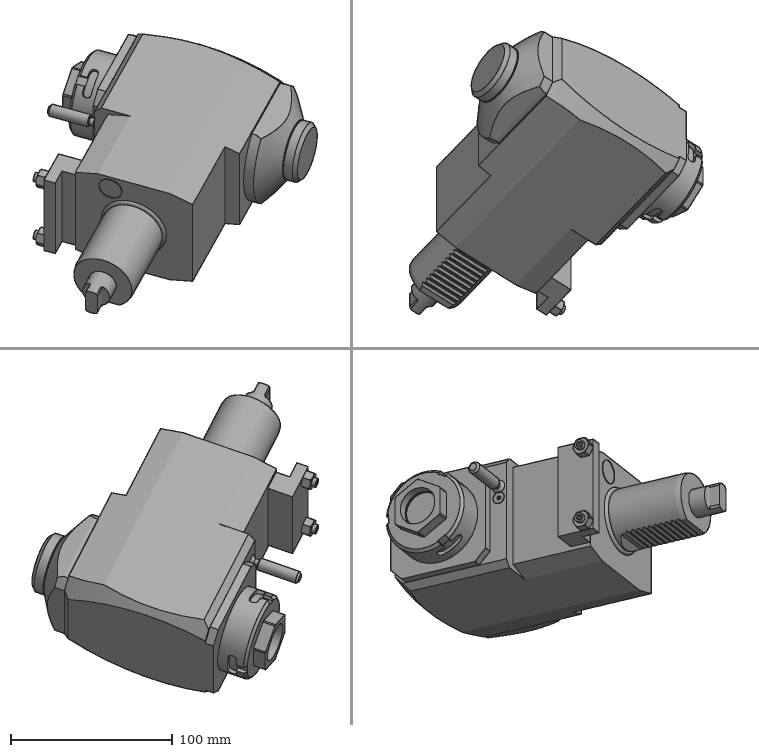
import cadquery as cq
import math


half_height = 37.5
back_y = 134.0
step_y = 55.0
head_left, head_right = -47.8, 48.8
base_half_width = 39.1
head_chamfer = 4.3
corner_chamfer = 4.1
slope_angle = 15
slope_start = 23.9
slope = math.tan(math.radians(slope_angle))

bevel_center_x = -9.9
bevel_radius = 131.8
bevel_start_y = 129.8

spindle_y = 100.0
plate_thickness = 5.5
plate_half_height = 33.0
plate_front_y = 66.5
plate_corner = 7.6
plate_left = head_left - plate_thickness

collar_radius = 27.6
collar_length = 19.2
collar_chamfer = 1.9
collar_left = plate_left - collar_length
notch_angles = (60, 180, 300)
notch_width = 6.0
notch_depth = 2.7
slot_width = 5.8
slot_depth = 2.5
slot_center_x = -63.0
slot_half_angle = 14

hex_flats = 32.0
hex_corner_radius = 18.1
hex_length = 8.0
hex_bore_radius = 12.2
hex_bore_depth = 6.2
hex_bore_step = 0.5
hex_floor_depth = 7.2
hex_left = collar_left - hex_length

cap_radius = 38.0
cap_edge_x = 55.5
cap_nose_x = 67.4
cap_nose_radius = 19.4
cap_nose_chamfer = 2.5
cap_groove_width = 0.6
cap_groove_depth = 0.5
cap_right = 76.5
cap_half_height = 29.3
cap_slope_x = 51.5
cap_flat = 30.0

pin_y = 60.5
pin_z = 17.7
pin_radius = 4.0
pin_chamfer = 1.5
pin_back_chamfer = 0.6
pin_right = -53.0
neck_radius = 2.5
neck_right = -50.0
flare_radius = 4.3
plug_z = 10.3
plug_radius = 4.0
plug_bore_radius = 1.2
plug_bore_depth = 2.0
mark_depth = 0.5

bracket_half_height = 30.7
bracket_left = -55.8
bracket_leg_right = -48.2
bracket_back_y = 14.0
bracket_arm_front = 0.6
bracket_front_y = -11.0
nut_y = -5.2
nut_z = 25.1
nut_flats = 10.3
nut_thickness = 5.5
nut_chamfer = 0.6
stud_diameter = 6.0
stud_length = 2.7
socket_flats = 3.0
socket_depth = 2.0

seat_radius = 21.6
seat_length = 1.9
shank_lead_end = -3.3
shank_lead_radius = 19.5
flat_start = -7.0
shank_radius = 20.0
shank_end = -53.0
shank_chamfer_length = 3.0
shank_end_radius = 19.4
shank_flat = 15.9
tooth_depth = 1.0
groove_width = 3.3
groove_count = 10
first_groove_y = -11.3
last_groove_y = -47.4
tooth_pitch = (first_groove_y - last_groove_y) / (groove_count - 1)
drive_radius = 9.0
drive_end = -64.0
tang_half_width = 4.1
tang_end = -72.0
tang_bevel_height = 2.5
tang_bevel_width = 0.8
tang_fillet = 0.8
face_plug_x = -15.9
face_plug_z = 27.5
face_plug_radius = 7.6


def box(x0, x1, y0, y1, z0, z1):
    return cq.Workplane("XY").box(x1 - x0, y1 - y0, z1 - z0, centered=False).translate((x0, y0, z0))


def along_x(x, y, z=0.0):
    """Sketch plane facing +X, with local axes Y and Z."""
    return cq.Workplane("YZ", origin=(x, y, z))


def along_y(y, x=0.0, z=0.0):
    """Sketch plane facing +Y, with local axes -X and Z."""
    return cq.Workplane(cq.Plane(origin=(x, y, z), xDir=(-1, 0, 0), normal=(0, 1, 0)))


def turned(points, y, z=0.0):
    """Solid of revolution about a line along X; points are (x, radius)."""
    x_start, x_end = points[0][0], points[-1][0]
    outline = [(x_start, 0)] + points + [(x_end, 0)]
    return cq.Workplane("XY").polyline(outline).close().revolve(360, (0, 0), (1, 0)).translate((0, y, z))


def hexagon(plane, flats, length, turn):
    corner_diameter = flats / math.cos(math.radians(30))
    return plane.transformed(rotate=(0, 0, turn)).polygon(6, corner_diameter).extrude(length)


def prism(upper_outline, y0, y1):
    """Extrude along Y an XZ outline given by its upper half and mirrored in Z."""
    lower_outline = [(x, -z) for x, z in reversed(upper_outline)]
    outline = cq.Workplane("XZ", origin=(0, y1, 0)).polyline(upper_outline + lower_outline).close()
    return outline.extrude(y1 - y0)


def sloped_height(x):
    return half_height - (abs(x) - slope_start) * slope


def back_bevel(side):
    """Cone that trims the back edge on one side (+1 top, -1 bottom)."""
    back_radius = bevel_radius - (back_y - bevel_start_y)
    front_radius = back_radius + back_y
    cone_profile = [(0, 0), (front_radius, 0), (back_radius, back_y), (0, back_y)]
    cone = cq.Workplane("XY").polyline(cone_profile).close().revolve(360, (0, 0), (0, 1))
    return cone.translate((bevel_center_x, 0, side * (half_height - bevel_radius)))


def make_body():
    head_outline = [
        (head_left, half_height - head_chamfer),
        (head_left + head_chamfer, half_height),
        (slope_start, half_height),
        (head_right, sloped_height(head_right)),
    ]
    base_outline = [
        (-base_half_width, sloped_height(base_half_width)),
        (-slope_start, half_height),
        (slope_start, half_height),
        (base_half_width, sloped_height(base_half_width)),
    ]
    head = prism(head_outline, step_y, back_y)
    head = head.edges("|Z and >X and >Y").chamfer(corner_chamfer)
    head = head.intersect(back_bevel(1)).intersect(back_bevel(-1))
    return head.union(prism(base_outline, 0, step_y))


def make_plate():
    plate = box(plate_left, head_left, plate_front_y, back_y, -plate_half_height, plate_half_height)
    return plate.edges("|X").chamfer(plate_corner)


def collar_cutter():
    """One face notch with its curved slot, both on the -Y side of the collar."""
    notch_end = slot_center_x - slot_width / 2
    notch = box(collar_left, notch_end, -collar_radius, notch_depth - collar_radius,
                -notch_width / 2, notch_width / 2)
    floor_radius = collar_radius - slot_depth
    x0, x1 = notch_end, notch_end + slot_width
    outer_radius = collar_radius + slot_depth
    section = [(x0, -outer_radius), (x1, -outer_radius), (x1, -floor_radius), (x0, -floor_radius)]
    slot = cq.Workplane("XY").polyline(section).close().revolve(2 * slot_half_angle, (0, 0), (1, 0))
    slot = slot.rotate((0, 0, 0), (1, 0, 0), -slot_half_angle)
    slot_end = along_y(-outer_radius, slot_center_x).circle(slot_width / 2).extrude(2 * slot_depth)
    for angle in (-slot_half_angle, slot_half_angle):
        slot = slot.union(slot_end.rotate((0, 0, 0), (1, 0, 0), angle))
    return notch.union(slot)


def make_collar():
    collar = turned([
        (collar_left, collar_radius - collar_chamfer),
        (collar_left + collar_chamfer, collar_radius),
        (plate_left, collar_radius),
    ], spindle_y)
    cutter = collar_cutter()
    for angle in notch_angles:
        collar = collar.cut(cutter.rotate((0, 0, 0), (1, 0, 0), angle).translate((0, spindle_y, 0)))
    return collar


def make_hex():
    start = along_x(hex_left, spindle_y)
    blank = hexagon(start, hex_flats, hex_length, 90)
    return blank.intersect(start.circle(hex_corner_radius).extrude(hex_length))


def make_cap():
    cap = turned([
        (head_right, cap_radius),
        (cap_edge_x, cap_radius),
        (cap_nose_x, cap_nose_radius),
        (cap_nose_x, cap_nose_radius - cap_groove_depth),
        (cap_nose_x + cap_groove_width, cap_nose_radius - cap_groove_depth),
        (cap_nose_x + cap_groove_width, cap_nose_radius),
        (cap_right - cap_nose_chamfer, cap_nose_radius),
        (cap_right, cap_nose_radius - cap_nose_chamfer),
    ], spindle_y)
    envelope = [
        (head_right, cap_half_height),
        (cap_slope_x, cap_half_height),
        (cap_right, cap_half_height - (cap_right - cap_slope_x) * slope),
    ]
    return cap.intersect(prism(envelope, spindle_y - cap_radius, spindle_y + cap_flat))


def make_pin():
    return turned([
        (hex_left, pin_radius - pin_chamfer),
        (hex_left + pin_chamfer, pin_radius),
        (pin_right - pin_back_chamfer, pin_radius),
        (pin_right, pin_radius - pin_back_chamfer),
        (pin_right, neck_radius),
        (neck_right, neck_radius),
        (head_left, flare_radius),
    ], pin_y, pin_z)


def make_bracket():
    arm = box(bracket_left, -base_half_width, bracket_arm_front, bracket_back_y,
              -bracket_half_height, bracket_half_height)
    leg = box(bracket_left, bracket_leg_right, bracket_front_y, bracket_back_y,
              -bracket_half_height, bracket_half_height)
    return arm.union(leg)


def make_nut(z):
    nut_left = bracket_left - nut_thickness
    stud_left = nut_left - stud_length
    start = along_x(nut_left, nut_y, z)
    corner_radius = nut_flats / 2 / math.cos(math.radians(30))
    rounding = start.circle(corner_radius).extrude(nut_thickness).faces("<X").chamfer(nut_chamfer)
    nut = hexagon(start, nut_flats, nut_thickness, 0).intersect(rounding)
    stud = along_x(stud_left, nut_y, z).circle(stud_diameter / 2).extrude(stud_length)
    socket = hexagon(along_x(stud_left, nut_y, z), socket_flats, socket_depth, 0)
    return nut.union(stud).cut(socket)


def make_shank():
    arc_center_x = seat_radius - seat_length
    arc_middle = seat_length * math.sqrt(0.5)
    seat = cq.Workplane("XY").lineTo(seat_radius, 0)
    seat = seat.threePointArc((arc_center_x + arc_middle, -arc_middle), (arc_center_x, -seat_length))
    outline = seat.polyline([
        (shank_lead_radius, -seat_length),
        (shank_radius, shank_lead_end),
        (shank_radius, shank_end + shank_chamfer_length),
        (shank_end_radius, shank_end),
        (drive_radius, shank_end),
        (drive_radius, drive_end),
        (0, drive_end),
    ], includeCurrent=True).close()
    shank = outline.revolve(360, (0, 0), (0, 1))
    return shank.cut(underside_flat()).cut(tooth_grooves()).union(make_tang())


def make_tang():
    """Flat driving tongue with beveled edges and a filleted foot."""
    tongue = prism([
        (-tang_half_width, drive_radius - tang_bevel_height),
        (-tang_half_width + tang_bevel_width, drive_radius),
        (tang_half_width - tang_bevel_width, drive_radius),
        (tang_half_width, drive_radius - tang_bevel_height),
    ], tang_end, drive_end)
    foot_end = drive_end - tang_fillet
    foot = box(-tang_half_width - tang_fillet, tang_half_width + tang_fillet, foot_end, drive_end,
               -drive_radius, drive_radius)
    for side in (-1, 1):
        round_axis = (side * (tang_half_width + tang_fillet), foot_end)
        rounding = cq.Workplane("XY", origin=(0, 0, -drive_radius)).center(*round_axis)
        foot = foot.cut(rounding.circle(tang_fillet).extrude(2 * drive_radius))
    envelope = along_y(tang_end).circle(drive_radius).extrude(drive_end - tang_end)
    return tongue.union(foot).intersect(envelope)


def underside_flat():
    """Cutter for the flat under the shank; local axes of the sketch plane are Y and Z."""
    runout = seat_radius - shank_flat
    return cq.Workplane("YZ", origin=(-seat_radius, 0, 0)).polyline([
        (shank_end, -shank_flat),
        (flat_start, -shank_flat),
        (flat_start + runout, -seat_radius),
        (shank_end, -seat_radius),
    ]).close().extrude(2 * seat_radius)


def tooth_grooves():
    """V grooves across the flat; local axes of the sketch plane are Y and Z."""
    grooves = cq.Workplane("YZ", origin=(-shank_radius, 0, 0))
    for i in range(groove_count):
        y = first_groove_y - i * tooth_pitch
        grooves = grooves.polyline([
            (y - groove_width / 2, -shank_flat),
            (y, -shank_flat + tooth_depth),
            (y + groove_width / 2, -shank_flat),
        ]).close()
    return grooves.extrude(2 * shank_radius)


result = make_body()
for feature in (make_plate(), make_collar(), make_hex(), make_cap(), make_bracket(), make_shank()):
    result = result.union(feature)
for side in (-1, 1):
    result = result.union(make_nut(side * nut_z))

result = result.cut(along_x(hex_left, spindle_y).circle(hex_bore_radius).extrude(hex_bore_depth))
hex_floor = along_x(hex_left, spindle_y).circle(hex_bore_radius - hex_bore_step).extrude(hex_floor_depth)
result = result.cut(hex_floor)
result = result.cut(along_x(head_left, pin_y, plug_z).circle(plug_radius).extrude(mark_depth))
result = result.cut(along_x(head_left, pin_y, plug_z).circle(plug_bore_radius).extrude(plug_bore_depth))
result = result.cut(along_y(0, face_plug_x, face_plug_z).circle(face_plug_radius).extrude(mark_depth))
result = result.union(make_pin())